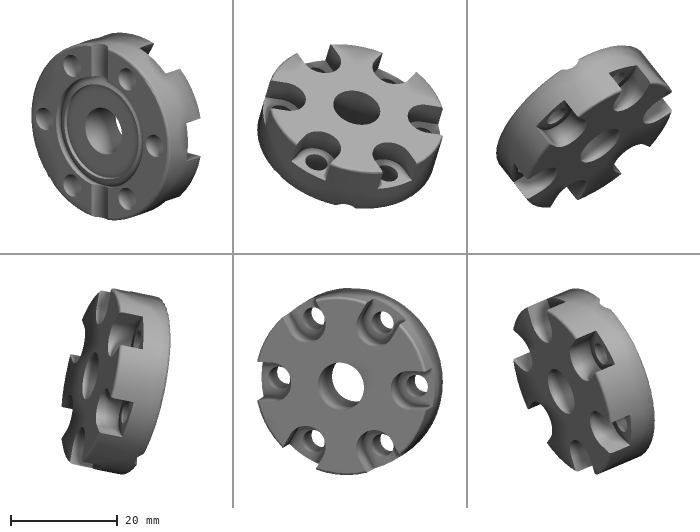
import cadquery as cq
import math

outer_diameter = 34.0
thickness = 10.0
rim_round = 0.5

bore_diameter = 9.0
hole_diameter = 4.3
hole_circle_radius = 13.5
hole_count = 6

recess_diameter = 21.4
recess_wall_depth = 1.35
crest_diameter = 18.22
crest_depth = 0.55
floor_diameter = 17.95
floor_depth = 1.15

groove_radius = 2.5
groove_depth = 1.05

notch_width = 7.48
notch_depth = 4.5

front_y = -thickness


def disc_along_y(diameter, start_y, length):
    """Cylinder on the Y axis, running toward +Y from start_y."""
    direction = cq.Vector(0, 1, 0)
    return cq.Workplane(cq.Solid.makeCylinder(diameter / 2, length, cq.Vector(0, start_y, 0), direction))


def make_body():
    """Disc with both rim edges rounded."""
    return disc_along_y(outer_diameter, front_y, thickness).edges().fillet(rim_round)


def make_recess():
    """Front recess: a conical ring rises from its outer wall to a crest, then drops to a flat floor."""
    profile = [
        (0, front_y),
        (recess_diameter / 2, front_y),
        (recess_diameter / 2, front_y + recess_wall_depth),
        (crest_diameter / 2, front_y + crest_depth),
        (floor_diameter / 2, front_y + floor_depth),
        (0, front_y + floor_depth),
    ]
    return cq.Workplane("XY").polyline(profile).close().revolve(360, (0, 0), (0, 1))


def make_groove():
    """Round-bottomed groove along Z in the front face, interrupted by the recess."""
    axis_y = front_y + groove_depth - groove_radius
    groove = cq.Workplane("XY").center(0, axis_y).circle(groove_radius).extrude(outer_diameter / 2, both=True)
    return groove.cut(disc_along_y(recess_diameter, front_y, thickness))


def make_hole(angle):
    """Through hole on the hole circle."""
    angle_radians = math.radians(angle)
    x = hole_circle_radius * math.cos(angle_radians)
    z = hole_circle_radius * math.sin(angle_radians)
    return disc_along_y(hole_diameter, front_y, thickness).translate((x, 0, z))


def make_notch(angle):
    """Rear notch, open at the rim, with a round inner end centred on a hole."""
    half_width = notch_width / 2
    rim_x = outer_diameter / 2
    notch = (
        cq.Workplane("XZ")
        .moveTo(rim_x, half_width)
        .lineTo(hole_circle_radius, half_width)
        .threePointArc((hole_circle_radius - half_width, 0), (hole_circle_radius, -half_width))
        .lineTo(rim_x, -half_width)
        .close()
        .extrude(notch_depth)
    )
    return notch.rotate((0, 0, 0), (0, 1, 0), angle)


result = make_body()
result = result.cut(disc_along_y(bore_diameter, front_y, thickness))
result = result.cut(make_recess())
result = result.cut(make_groove())
for index in range(hole_count):
    angle = index * 360 / hole_count
    result = result.cut(make_hole(angle))
    result = result.cut(make_notch(angle))